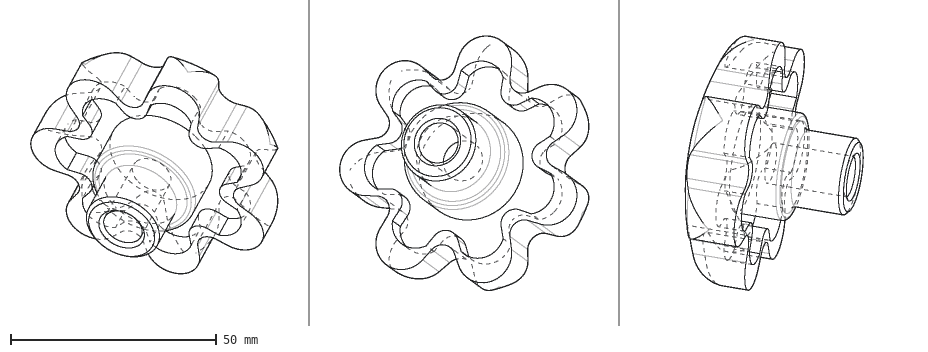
import cadquery as cq
import math

LOBES = 7
PITCH = 2 * math.pi / LOBES
FIRST_LOBE = math.pi

LOBE_RADIUS = 7.0
LOBE_CENTER = 24.5
TIP_RADIUS = LOBE_CENTER + LOBE_RADIUS
VALLEY_RADIUS = 3.45
VALLEY_BOTTOM = 21.25

DOME_HEIGHT = 18.9
DOME_RADIUS = 66.65
SHOULDER_RADIUS = 7.4

POCKET_DEPTH = 6.5
POCKET_LOBE_RADIUS = 6.35
POCKET_TIP = 25.1
POCKET_HALF_WIDTH = 5.5
POCKET_VALLEY_BOTTOM = 17.6

HUB_RADIUS = 13.35
HUB_LENGTH = 6.05
HUB_EDGE_ROUND = 0.8
SHANK_RADIUS = 9.5
SHANK_END = 21.0
SHANK_FILLET = 2.0
END_CHAMFER = 0.9
BORE_RADIUS = 5.0
BORE_DEPTH = 21.0


def polar(radius, angle):
    return (radius * math.cos(angle), radius * math.sin(angle))


def offset(point, radius, angle):
    step = polar(radius, angle)
    return (point[0] + step[0], point[1] + step[1])


def turn(point, angle):
    c, s = math.cos(angle), math.sin(angle)
    return (c * point[0] - s * point[1], s * point[0] + c * point[1])


def mirror(point):
    """Reflect across the middle line of a lobe that points along local +X."""
    return (point[0], -point[1])


def star(lobe_tip, flank_start, valley_start, valley_bottom):
    """Closed star of lobe arcs, straight flanks and valley arcs.

    The points describe the upper half of a lobe that points along local +X.
    """
    first = turn(mirror(flank_start), FIRST_LOBE)
    outline = cq.Workplane("XZ").moveTo(*first)
    for i in range(LOBES):
        angle = FIRST_LOBE + i * PITCH
        outline = outline.threePointArc(turn(lobe_tip, angle), turn(flank_start, angle))
        outline = outline.lineTo(*turn(valley_start, angle))
        next_angle = angle + PITCH
        outline = outline.threePointArc(
            polar(valley_bottom, angle + PITCH / 2), turn(mirror(valley_start), next_angle)
        )
        if i < LOBES - 1:
            outline = outline.lineTo(*turn(mirror(flank_start), next_angle))
    return outline.close()


def head_outline():
    lobe = (LOBE_CENTER, 0)
    valley = polar(VALLEY_BOTTOM + VALLEY_RADIUS, PITCH / 2)
    dx, dz = valley[0] - lobe[0], valley[1] - lobe[1]
    normal = math.atan2(dz, dx) - math.acos((LOBE_RADIUS + VALLEY_RADIUS) / math.hypot(dx, dz))
    return star(
        (TIP_RADIUS, 0),
        offset(lobe, LOBE_RADIUS, normal),
        offset(valley, -VALLEY_RADIUS, normal),
        VALLEY_BOTTOM,
    )


def pocket_outline():
    corner_reach = math.sqrt(POCKET_LOBE_RADIUS**2 - POCKET_HALF_WIDTH**2)
    corner = (POCKET_TIP - POCKET_LOBE_RADIUS + corner_reach, POCKET_HALF_WIDTH)
    valley = polar(POCKET_VALLEY_BOTTOM + VALLEY_RADIUS, PITCH / 2)
    dx, dz = corner[0] - valley[0], corner[1] - valley[1]
    normal = math.atan2(dz, dx) - math.acos(VALLEY_RADIUS / math.hypot(dx, dz))
    return star((POCKET_TIP, 0), corner, offset(valley, VALLEY_RADIUS, normal), POCKET_VALLEY_BOTTOM)


def dome():
    """Solid of revolution whose top and shoulder arcs meet tangentially."""
    sphere_y = DOME_HEIGHT - DOME_RADIUS
    shoulder_x = TIP_RADIUS - SHOULDER_RADIUS
    tangent = math.acos(shoulder_x / (DOME_RADIUS - SHOULDER_RADIUS))
    shoulder_y = sphere_y + (DOME_RADIUS - SHOULDER_RADIUS) * math.sin(tangent)
    sphere = (0, sphere_y)
    shoulder = (shoulder_x, shoulder_y)
    return (
        cq.Workplane("XY")
        .lineTo(TIP_RADIUS, 0)
        .lineTo(TIP_RADIUS, shoulder_y)
        .threePointArc(
            offset(shoulder, SHOULDER_RADIUS, tangent / 2), offset(shoulder, SHOULDER_RADIUS, tangent)
        )
        .threePointArc(offset(sphere, DOME_RADIUS, (tangent + math.pi / 2) / 2), (0, DOME_HEIGHT))
        .close()
        .revolve(360, (0, 0), (0, 1))
    )


def hub_and_shank():
    """Turned profile from the pocket floor down to the chamfered shank end."""
    fillet_center = (SHANK_RADIUS + SHANK_FILLET, -HUB_LENGTH - SHANK_FILLET)
    round_center = (HUB_RADIUS - HUB_EDGE_ROUND, -HUB_LENGTH + HUB_EDGE_ROUND)
    return (
        cq.Workplane("XY")
        .moveTo(0, POCKET_DEPTH)
        .lineTo(HUB_RADIUS, POCKET_DEPTH)
        .lineTo(HUB_RADIUS, round_center[1])
        .threePointArc(
            offset(round_center, HUB_EDGE_ROUND, -math.pi / 4), (round_center[0], -HUB_LENGTH)
        )
        .lineTo(fillet_center[0], -HUB_LENGTH)
        .threePointArc(
            offset(fillet_center, SHANK_FILLET, 3 * math.pi / 4), (SHANK_RADIUS, fillet_center[1])
        )
        .lineTo(SHANK_RADIUS, -SHANK_END + END_CHAMFER)
        .lineTo(SHANK_RADIUS - END_CHAMFER, -SHANK_END)
        .lineTo(0, -SHANK_END)
        .close()
        .revolve(360, (0, 0), (0, 1))
    )


def bore():
    """Blind bore with a countersunk mouth."""
    return (
        cq.Workplane("XY")
        .moveTo(0, -SHANK_END)
        .lineTo(BORE_RADIUS + END_CHAMFER, -SHANK_END)
        .lineTo(BORE_RADIUS, -SHANK_END + END_CHAMFER)
        .lineTo(BORE_RADIUS, -SHANK_END + BORE_DEPTH)
        .lineTo(0, -SHANK_END + BORE_DEPTH)
        .close()
        .revolve(360, (0, 0), (0, 1))
    )


head = head_outline().extrude(-DOME_HEIGHT).intersect(dome())
head = head.cut(pocket_outline().extrude(-POCKET_DEPTH))
result = head.union(hub_and_shank()).cut(bore())